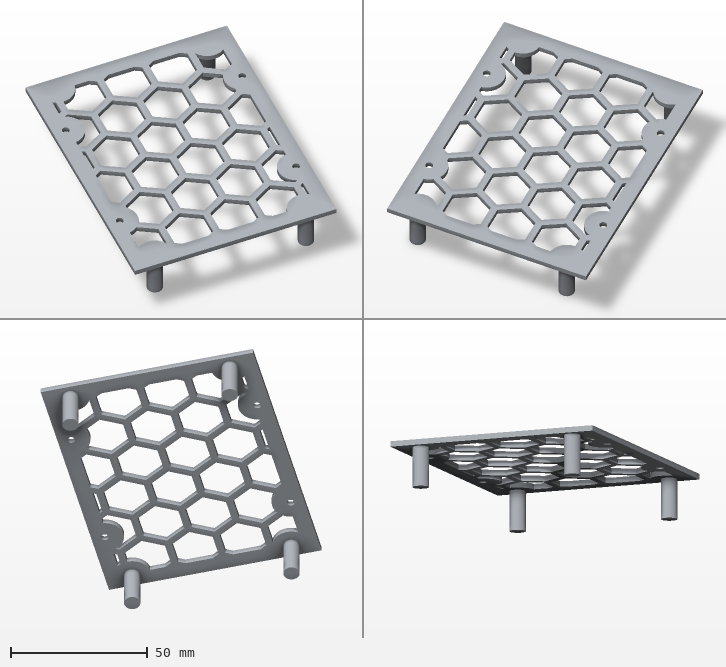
import cadquery as cq
import math

plate_length = 101.5
plate_width = 80.0
plate_thickness = 2.0
total_height = 17.0

frame_width = 6.0
window_length = plate_length - 2 * frame_width
window_width = plate_width - 2 * frame_width

cell_pitch = 18.0
web_width = 2.6
cell_flats = cell_pitch - web_width
cell_diameter = cell_flats / math.cos(math.pi / 6)
column_pitch = cell_pitch * math.cos(math.pi / 6)
column_count = 6
cells_per_column = 5

pad_radius = 7.0

peg_diameter = 6.0
peg_spacing_x = 91.6
peg_spacing_y = 60.0

hole_diameter = 2.8
hole_spacing_x = 49.9
hole_spacing_y = 70.0


def rectangle_corners(spacing_x, spacing_y):
    """Corner points of a rectangle centred on the origin."""
    return [(sx * spacing_x / 2, sy * spacing_y / 2) for sx in (-1, 1) for sy in (-1, 1)]


def cell_centres():
    """Centres of the hexagons; alternate columns are shifted by half a pitch."""
    centres = []
    for column in range(column_count):
        x = (column - (column_count - 1) / 2) * column_pitch
        shift = cell_pitch / 4 if column % 2 else -cell_pitch / 4
        for row in range(cells_per_column):
            y = (row - (cells_per_column - 1) / 2) * cell_pitch + shift
            centres.append((x, y))
    return centres


def slab():
    """Empty workplane at the underside of the plate."""
    return cq.Workplane("XY").workplane(offset=-plate_thickness)


def honeycomb_openings():
    """Hexagonal prisms trimmed to the window and kept clear of the round pads."""
    window = slab().rect(window_length, window_width).extrude(plate_thickness)
    cells = slab().pushPoints(cell_centres()).polygon(6, cell_diameter).extrude(plate_thickness)
    pads = slab().pushPoints(peg_points + hole_points).circle(pad_radius).extrude(plate_thickness)
    return window.intersect(cells).cut(pads)


peg_points = rectangle_corners(peg_spacing_x, peg_spacing_y)
hole_points = rectangle_corners(hole_spacing_x, hole_spacing_y)

plate = slab().rect(plate_length, plate_width).extrude(plate_thickness)
screw_holes = slab().pushPoints(hole_points).circle(hole_diameter / 2).extrude(plate_thickness)
pegs = (
    cq.Workplane("XY")
    .workplane(offset=-total_height)
    .pushPoints(peg_points)
    .circle(peg_diameter / 2)
    .extrude(total_height - plate_thickness)
)

result = plate.cut(honeycomb_openings()).cut(screw_holes).union(pegs)